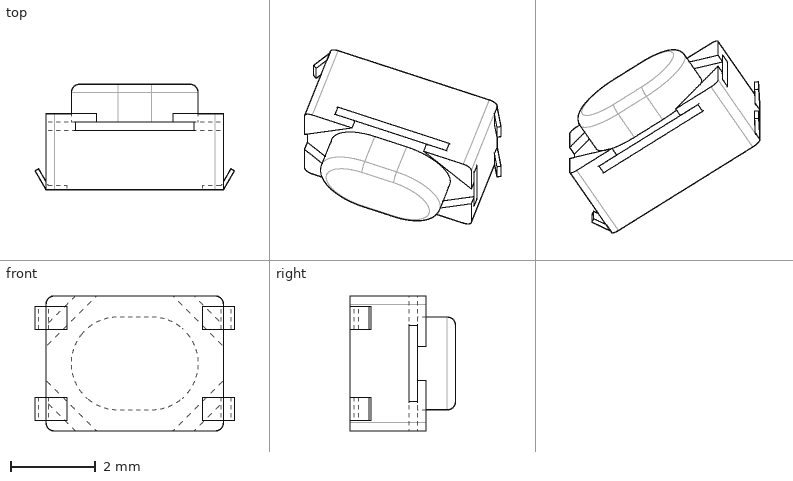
import cadquery as cq
import math


housing_length = 4.2
housing_width = 3.2
housing_height = 1.8
housing_corner_radius = 0.2

opening_depth = 0.2
opening_corner_cut = 1.2
opening_floor = housing_height - opening_depth

plate_thickness = 0.2
plate_corner_cut = 0.7
plate_bottom = opening_floor - plate_thickness

button_length = 3.0
button_width = 2.2
button_top = 2.5
button_edge_radius = 0.2
button_height = button_top - opening_floor

leg_thickness = 0.1
leg_width = 0.55
leg_edge_inset = 0.25
foot_length = 0.5
leg_reach = 0.26
leg_tilt = math.radians(60)
leg_center_z = housing_width / 2 - leg_edge_inset - leg_width / 2


def xz_plane_at(height):
    """Sketch plane parallel to the base, with its normal along +Y."""
    return cq.Workplane(cq.Plane(origin=(0, height, 0), xDir=(1, 0, 0), normal=(0, 1, 0)))


def octagon(bottom, height, corner_cut):
    """Slab as long and wide as the housing, with its corners cut off at 45 degrees."""
    return (
        xz_plane_at(bottom)
        .rect(housing_length, housing_width)
        .extrude(height)
        .edges("|Y")
        .chamfer(corner_cut)
    )


def make_button():
    """Round-ended button with a rounded top edge."""
    return (
        xz_plane_at(opening_floor)
        .slot2D(button_length, button_width)
        .extrude(button_height)
        .faces(">Y")
        .edges()
        .fillet(button_edge_radius)
    )


def make_plate():
    """Flat octagon whose four straight sides are flush with the housing sides."""
    return octagon(plate_bottom, plate_thickness, plate_corner_cut)


def make_leg(side_x, side_z):
    """Flat foot flush with the base, bent up at the housing edge; the sides are +1 or -1."""
    bend_x = housing_length / 2
    tip_x = bend_x + leg_reach
    tip_y = leg_reach * math.tan(leg_tilt)
    inner_bend_x = bend_x - leg_thickness * math.tan(leg_tilt / 2)
    profile = [
        (bend_x - foot_length, 0),
        (bend_x, 0),
        (tip_x, tip_y),
        (tip_x - leg_thickness * math.sin(leg_tilt), tip_y + leg_thickness * math.cos(leg_tilt)),
        (inner_bend_x, leg_thickness),
        (bend_x - foot_length, leg_thickness),
    ]
    return (
        cq.Workplane("XY")
        .polyline([(side_x * x, y) for x, y in profile])
        .close()
        .extrude(leg_width / 2, both=True)
        .translate((0, 0, side_z * leg_center_z))
    )


def make_housing(inserts):
    """Rounded block with an octagonal opening on top and a matching recess for every inserted body."""
    block = (
        xz_plane_at(0)
        .rect(housing_length, housing_width)
        .extrude(housing_height)
        .edges("|Y")
        .fillet(housing_corner_radius)
    )
    block = block.cut(octagon(opening_floor, opening_depth, opening_corner_cut))
    for insert in inserts:
        block = block.cut(insert)
    return block


button = make_button()
plate = make_plate()
legs = [make_leg(side_x, side_z) for side_x in (-1, 1) for side_z in (-1, 1)]
housing = make_housing([plate, *legs])

result = cq.Compound.makeCompound(
    [housing.val(), plate.val(), button.val(), *[leg.val() for leg in legs]]
)